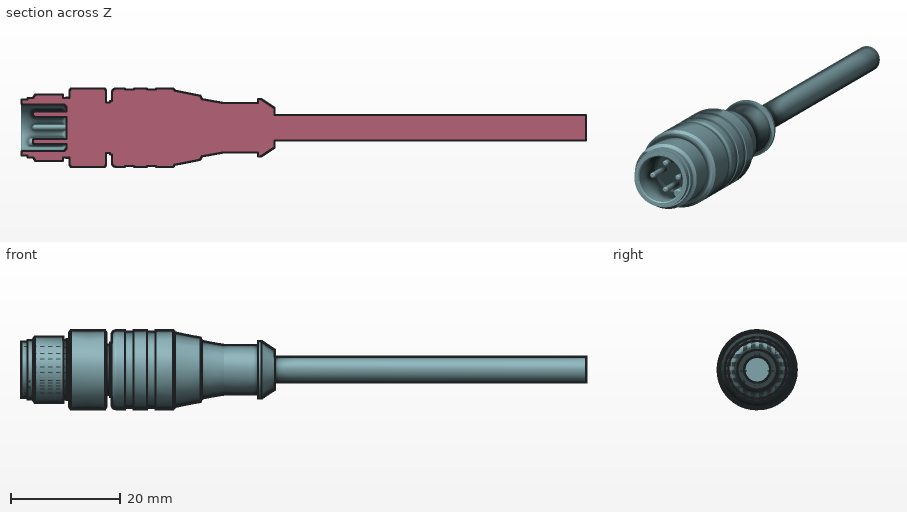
import cadquery as cq
import math

total_length = 103.6
cable_radius = 2.4

tip_radius = 5.2
collar_start = 1.1
neck_radius = 5.5
thread_chamfer_start = 2.2
thread_start = 2.6
thread_end = 7.8
thread_radius = 6.1

seal_start = 8.3
seal_end = 8.6
seal_radius = 5.6

nut_start = 8.8
nut_end = 15.7
nut_radius = 7.3
nut_chamfer_length = 0.3
nut_chamfer_height = 0.5

shaft_end = 16.6
shaft_radius = 4.7
shoulder_length = 0.3
shoulder_radius = 5.0

grip_radius = 7.3
grip_round = 0.9
grip_start = shaft_end
grip_end = 27.9
groove_width = 1.6
groove_depth = 0.2
groove_starts = (19.1, 23.1)

step_length = 0.3
cone_start_radius = 6.8
cone_end = 32.9
cone_end_radius = 5.9
second_cone_start_radius = 5.3
second_cone_end = 37.2
sleeve_radius = 4.6

flange_start = 43.4
flange_rim = 0.6
flange_radius = 5.3
flange_end = 46.5
flange_end_radius = 3.6

socket_depth = 8.3
socket_radius = 4.2
mouth_bevel = 0.2
floor_bevel = 0.4
pin_count = 4
pin_radius = 0.5
pin_circle_radius = 2.5
pin_recess = 2.2
pin_chamfer = 0.2
key_radius = 0.8
key_chamfer = 0.2
key_recess = 1.5
key_distance = 3.9
key_angle = 225.0

root_depth = 0.5


def make_body():
    """Revolve the half outline of sleeve, nut, grip, relief and cable about X."""
    arc_mid = grip_round * (1 - math.sqrt(0.5))
    outline = (
        cq.Workplane("XY")
        .moveTo(0, 0)
        .lineTo(0, tip_radius)
        .lineTo(collar_start, tip_radius)
        .lineTo(collar_start, neck_radius)
        .lineTo(thread_chamfer_start, neck_radius)
        .lineTo(thread_start, thread_radius)
        .lineTo(thread_end, thread_radius)
        .lineTo(thread_end, neck_radius)
        .lineTo(seal_start, neck_radius)
        .lineTo(seal_start, seal_radius)
        .lineTo(seal_end, seal_radius)
        .lineTo(seal_end, neck_radius)
        .lineTo(nut_start, neck_radius)
        .lineTo(nut_start, nut_radius - nut_chamfer_height)
        .lineTo(nut_start + nut_chamfer_length, nut_radius)
        .lineTo(nut_end - nut_chamfer_length, nut_radius)
        .lineTo(nut_end, nut_radius - nut_chamfer_height)
        .lineTo(nut_end, shaft_radius)
        .lineTo(shaft_end - shoulder_length, shaft_radius)
        .lineTo(shaft_end - shoulder_length, shoulder_radius)
        .lineTo(shaft_end, shoulder_radius)
        .lineTo(grip_start, grip_radius - grip_round)
        .threePointArc(
            (grip_start + arc_mid, grip_radius - arc_mid),
            (grip_start + grip_round, grip_radius),
        )
        .lineTo(grip_end, grip_radius)
        .lineTo(grip_end + step_length, cone_start_radius)
        .lineTo(cone_end, cone_end_radius)
        .lineTo(cone_end + step_length, second_cone_start_radius)
        .lineTo(second_cone_end, sleeve_radius)
        .lineTo(flange_start, sleeve_radius)
        .lineTo(flange_start, flange_radius)
        .lineTo(flange_start + flange_rim, flange_radius)
        .lineTo(flange_end, flange_end_radius)
        .lineTo(flange_end, cable_radius)
        .lineTo(total_length, cable_radius)
        .lineTo(total_length, 0)
        .close()
    )
    return outline.revolve(360, (0, 0, 0), (1, 0, 0))


def disc(start, length, radius, y=0, z=0):
    """Round bar along X starting at the given X position."""
    return cq.Workplane("YZ", origin=(start, y, z)).circle(radius).extrude(length)


def make_groove(start):
    """Ring to cut one shallow groove around the grip."""
    outer = disc(start, groove_width, grip_radius + groove_depth)
    return outer.cut(disc(start, groove_width, grip_radius - groove_depth))


def make_socket():
    """Bore of the mating end with bevels at its mouth and floor."""
    outline = (
        cq.Workplane("XY")
        .moveTo(0, 0)
        .lineTo(0, socket_radius + mouth_bevel)
        .lineTo(mouth_bevel, socket_radius)
        .lineTo(socket_depth - floor_bevel, socket_radius)
        .lineTo(socket_depth, socket_radius - floor_bevel)
        .lineTo(socket_depth, 0)
        .close()
    )
    return outline.revolve(360, (0, 0, 0), (1, 0, 0))


def bar_at(angle, distance, recess, radius, tip_chamfer):
    """Round bar standing on the socket floor at a polar position."""
    turn = math.radians(angle)
    y = distance * math.cos(turn)
    z = distance * math.sin(turn)
    bar = disc(recess, socket_depth - recess + root_depth, radius, y, z)
    return bar.faces("<X").chamfer(tip_chamfer)


result = make_body()
for groove_start in groove_starts:
    result = result.cut(make_groove(groove_start))
result = result.cut(make_socket())
for pin_number in range(pin_count):
    pin_angle = pin_number * 360 / pin_count
    result = result.union(bar_at(pin_angle, pin_circle_radius, pin_recess, pin_radius, pin_chamfer))
result = result.union(bar_at(key_angle, key_distance, key_recess, key_radius, key_chamfer))